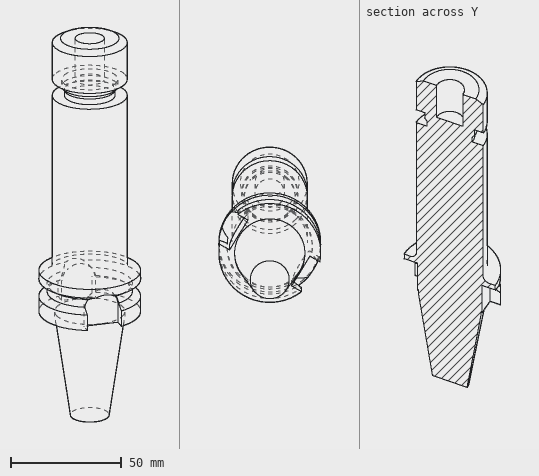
import cadquery as cq
import math

total_height = 183.4
taper_top = 48.5
flange_bottom = 50.5
lower_rim_top = 58.0
groove_bottom = 60.2
groove_top = 64.0
upper_rim_bottom = 66.2
flange_top = 70.5
body_top = 155.7
neck_cone_bottom = 158.5
neck_cone_top = 160.1
nut_bottom = 163.5
nut_chamfer_height = 2.0

gauge_radius = 31.7 / 2
taper_ratio = 7 / 24
small_end_radius = gauge_radius - taper_top * taper_ratio / 2
flange_radius = 46.0 / 2
groove_radius = 19.3
body_radius = 34.0 / 2
root_fillet = 3.1
neck_radius = 23.0 / 2
collar_radius = 12.7
nut_radius = body_radius
nut_face_radius = 13.2

bore_radius = 6.6
bore_depth = total_height - nut_bottom

slot_half_width = 16.1 / 2
slot_floor = 16.3
slot_top = 67.3


def make_body():
    """Revolve the complete outer profile of the holder and its nut about Z."""
    fillet_bend = root_fillet * (1 - math.sqrt(0.5))
    profile = (
        cq.Workplane("XZ")
        .moveTo(0, 0)
        .lineTo(small_end_radius, 0)
        .lineTo(gauge_radius, taper_top)
        .lineTo(gauge_radius, flange_bottom)
        .lineTo(flange_radius, flange_bottom)
        .lineTo(flange_radius, lower_rim_top)
        .lineTo(groove_radius, groove_bottom)
        .lineTo(groove_radius, groove_top)
        .lineTo(flange_radius, upper_rim_bottom)
        .lineTo(flange_radius, flange_top)
        .lineTo(body_radius + root_fillet, flange_top)
        .threePointArc(
            (body_radius + fillet_bend, flange_top + fillet_bend),
            (body_radius, flange_top + root_fillet),
        )
        .lineTo(body_radius, body_top)
        .lineTo(neck_radius, body_top)
        .lineTo(neck_radius, neck_cone_bottom)
        .lineTo(collar_radius, neck_cone_top)
        .lineTo(collar_radius, nut_bottom)
        .lineTo(nut_radius, nut_bottom)
        .lineTo(nut_radius, total_height - nut_chamfer_height)
        .lineTo(nut_face_radius, total_height)
        .lineTo(0, total_height)
        .close()
    )
    return profile.revolve(360, (0, 0), (0, 1))


def make_bore():
    """Blind collet bore, as deep as the nut is high."""
    return (
        cq.Workplane("XY", origin=(0, 0, total_height - bore_depth))
        .circle(bore_radius)
        .extrude(bore_depth)
    )


def make_slot():
    """Round-topped drive slot on the +X side, open at the flange underside."""
    return (
        cq.Workplane("YZ", origin=(slot_floor, 0, 0))
        .moveTo(-slot_half_width, flange_bottom)
        .lineTo(slot_half_width, flange_bottom)
        .lineTo(slot_half_width, slot_top - slot_half_width)
        .threePointArc((0, slot_top), (-slot_half_width, slot_top - slot_half_width))
        .close()
        .extrude(flange_radius)
    )


result = make_body().cut(make_bore())
for angle in (0, 180):
    result = result.cut(make_slot().rotate((0, 0, 0), (0, 0, 1), angle))